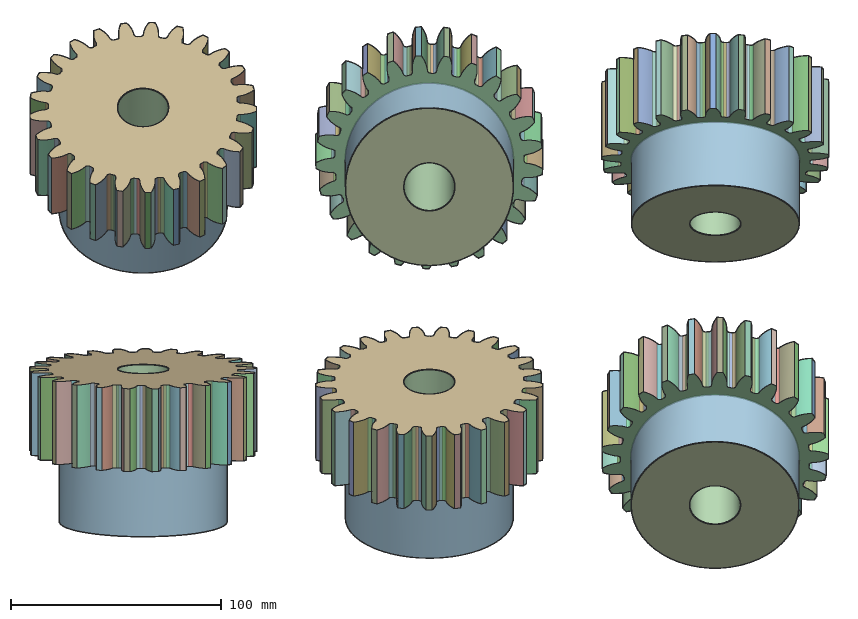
import cadquery as cq
import math

module = 4.0
tooth_count = 25
pressure_angle = math.radians(20)
gear_width = 40.0
addendum = module
dedendum = 1.25 * module
root_fillet = 0.38 * module

hub_diameter = 80.0
hub_length = 34.0
bore_diameter = 24.0
edge_chamfer = 0.25
hub_corner_fillet = 0.25

pitch_radius = module * tooth_count / 2
tip_radius = pitch_radius + addendum
root_radius = pitch_radius - dedendum
base_radius = pitch_radius * math.cos(pressure_angle)

tooth_pitch = 2 * math.pi / tooth_count
first_tooth_angle = -math.pi / 2
total_height = hub_length + gear_width


def involute(angle):
    """Involute function of a pressure angle."""
    return math.tan(angle) - angle


def half_tooth_angle(radius):
    """Half the angle a tooth spans on the involute at the given radius."""
    local_angle = math.acos(base_radius / radius)
    return tooth_pitch / 4 + involute(pressure_angle) - involute(local_angle)


def polar(radius, angle):
    """X and Y of a point given by radius and angle about the gear axis."""
    return (radius * math.cos(angle), radius * math.sin(angle))


base_half_angle = half_tooth_angle(base_radius)
fillet_center_radius = root_radius + root_fillet
fillet_center_angle = base_half_angle + math.asin(root_fillet / fillet_center_radius)
fillet_top_radius = math.sqrt(fillet_center_radius**2 - root_fillet**2)

pitch_half_angle = half_tooth_angle(pitch_radius)
tip_half_angle = half_tooth_angle(tip_radius)


def fillet_middle(tooth_angle, side):
    """Point halfway round the root fillet on one side (-1 or +1) of a tooth."""
    center_angle = tooth_angle + side * fillet_center_angle
    inward = center_angle + math.pi
    toward_flank = tooth_angle + side * (base_half_angle - math.pi / 2)
    sweep = math.remainder(toward_flank - inward, 2 * math.pi)
    center_x, center_y = polar(fillet_center_radius, center_angle)
    offset_x, offset_y = polar(root_fillet, inward + sweep / 2)
    return (center_x + offset_x, center_y + offset_y)


def add_tooth(outline, tooth_angle):
    """Continue the outline counterclockwise over one tooth and the root land after it."""
    next_land_end = tooth_angle + tooth_pitch - fillet_center_angle
    return (
        outline
        .threePointArc(
            fillet_middle(tooth_angle, -1),
            polar(fillet_top_radius, tooth_angle - base_half_angle),
        )
        .threePointArc(
            polar(pitch_radius, tooth_angle - pitch_half_angle),
            polar(tip_radius, tooth_angle - tip_half_angle),
        )
        .threePointArc(
            polar(tip_radius, tooth_angle),
            polar(tip_radius, tooth_angle + tip_half_angle),
        )
        .threePointArc(
            polar(pitch_radius, tooth_angle + pitch_half_angle),
            polar(fillet_top_radius, tooth_angle + base_half_angle),
        )
        .threePointArc(
            fillet_middle(tooth_angle, 1),
            polar(root_radius, tooth_angle + fillet_center_angle),
        )
        .threePointArc(
            polar(root_radius, tooth_angle + tooth_pitch / 2),
            polar(root_radius, next_land_end),
        )
    )


def make_gear():
    """Toothed rim sitting on top of the hub, one tooth pointing along -Y."""
    start = polar(root_radius, first_tooth_angle - fillet_center_angle)
    outline = cq.Workplane("XY").workplane(offset=hub_length).moveTo(*start)
    for i in range(tooth_count):
        outline = add_tooth(outline, first_tooth_angle + i * tooth_pitch)
    return outline.close().extrude(gear_width)


def make_hub():
    """Cylindrical hub with a chamfered bottom rim and a small fillet flaring into the gear."""
    radius = hub_diameter / 2
    arc_reach = hub_corner_fillet * (1 - math.sqrt(0.5))
    return (
        cq.Workplane("XZ")
        .lineTo(radius - edge_chamfer, 0)
        .lineTo(radius, edge_chamfer)
        .lineTo(radius, hub_length - hub_corner_fillet)
        .threePointArc(
            (radius + arc_reach, hub_length - arc_reach),
            (radius + hub_corner_fillet, hub_length),
        )
        .lineTo(0, hub_length)
        .close()
        .revolve(360, (0, 0, 0), (0, 1, 0))
    )


def make_bore():
    """Cutter for the through bore, chamfered at both ends."""
    radius = bore_diameter / 2
    mouth_radius = radius + edge_chamfer
    return (
        cq.Workplane("XZ")
        .lineTo(mouth_radius, 0)
        .lineTo(radius, edge_chamfer)
        .lineTo(radius, total_height - edge_chamfer)
        .lineTo(mouth_radius, total_height)
        .lineTo(0, total_height)
        .close()
        .revolve(360, (0, 0, 0), (0, 1, 0))
    )


result = make_gear().union(make_hub()).cut(make_bore())